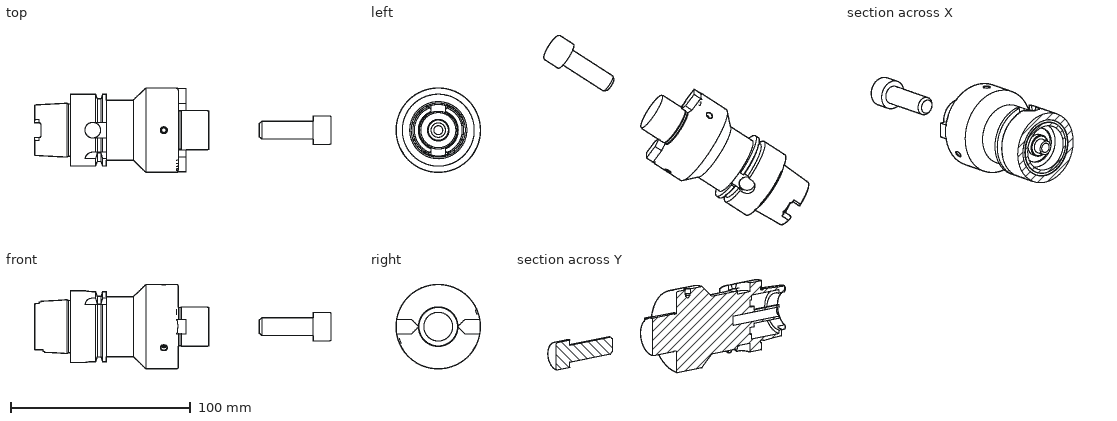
import cadquery as cq
import math


shank_length = 20.0
taper_large_dia = 30.1
taper_small_dia = 28.2
taper_end = -1.7
relief_start = -1.1
relief_dia = 29.2
face_groove_dia = 31.8
face_groove_depth = 0.4
lead_chamfer = 0.5
lead_chamfer_drop = 0.8

bore_dia = 21.0
bore_mouth_chamfer = 0.6
bore_land_length = 8.0
clamp_groove_dia = 25.0
clamp_groove_end = 7.0
floor_pocket_dia = 19.5
floor_pocket_depth = 1.0

collar_dia = 12.0
collar_height = 3.0
collar_chamfer = 0.4
tube_dia = 8.0
tube_bore_dia = 5.0
tube_end_fillet = 0.7
tube_mouth_x = -12.6
tube_bore_end_x = 20.0

drive_slot_width = 8.05
upper_slot_depth = 3.7
lower_slot_depth = 5.8
slot_corner_radius = 1.0
slot_edge_radius = 1.8
slot_edge_top = 12.75

flange_dia = 40.0
flange_length = 20.0
grip_groove_dia = 35.0
grip_groove_start = 15.0
grip_groove_floor = 2.1
grip_groove_angle = 20.0

pocket_dia = 8.7
pocket_x = 12.5
pocket_floor_z = 15.0
notch_floor_z = 12.2
notch_inner_y = -12.2

neck_dia = 33.5
cone_start = 35.0
cone_end = 42.0
head_dia = 47.0
head_end = 60.0
head_fillet = 0.9
pilot_dia = 22.0
pilot_end = 77.0
pilot_chamfer = 1.0
pilot_chamfer_drop = 0.3
pilot_relief_start = 60.4
pilot_relief_slope = 61.4
pilot_relief_end = 61.9
pilot_relief_dia = 21.4

hole_count = 3
hole_x = 52.0
hole_mouth_dia = 4.0
hole_core_dia = 3.4
hole_core_depth = 3.0
hole_tip_dia = 2.5
hole_tip_depth = 4.0
hole_cone_angle = 45.0

key_width = 8.0
key_end = 64.4
key_base = head_end - head_fillet
key_outer_y = 23.2
key_point_y = 10.8

screw_tip_x = 105.0
thread_dia = 10.0
tip_dia = 7.5
tip_length = 1.5
shaft_length = 30.0
screw_head_dia = 16.0
screw_head_height = 10.0
screw_head_fillet = 1.1


def revolve_about_x(points):
    """Revolve a closed outline of (x, radius) points about the X axis."""
    return cq.Workplane("XY").polyline(points).close().revolve(360, (0, 0, 0), (1, 0, 0))


def x_cylinder(x_start, x_end, dia):
    return cq.Workplane("YZ").workplane(offset=x_start).circle(dia / 2).extrude(x_end - x_start)


def arbor_blank():
    """Outer turned shape of the arbor."""
    wall_run = (flange_dia - grip_groove_dia) / 2 * math.tan(math.radians(grip_groove_angle))
    grip_groove_stop = grip_groove_start + grip_groove_floor
    blank = revolve_about_x([
        (-shank_length, 0),
        (-shank_length, taper_small_dia / 2 - lead_chamfer_drop),
        (-shank_length + lead_chamfer, taper_small_dia / 2),
        (taper_end, taper_large_dia / 2),
        (relief_start, relief_dia / 2),
        (face_groove_depth, relief_dia / 2),
        (face_groove_depth, face_groove_dia / 2),
        (0, face_groove_dia / 2),
        (0, flange_dia / 2),
        (grip_groove_start - wall_run, flange_dia / 2),
        (grip_groove_start, grip_groove_dia / 2),
        (grip_groove_stop, grip_groove_dia / 2),
        (grip_groove_stop + wall_run, flange_dia / 2),
        (flange_length, flange_dia / 2),
        (flange_length, neck_dia / 2),
        (cone_start, neck_dia / 2),
        (cone_end, head_dia / 2),
        (head_end, head_dia / 2),
        (head_end, pilot_dia / 2),
        (pilot_relief_start, pilot_relief_dia / 2),
        (pilot_relief_slope, pilot_relief_dia / 2),
        (pilot_relief_end, pilot_dia / 2),
        (pilot_end - pilot_chamfer, pilot_dia / 2),
        (pilot_end, pilot_dia / 2 - pilot_chamfer_drop),
        (pilot_end, 0),
    ])
    head_rim = cq.selectors.BoxSelector(
        (head_end - head_fillet, -head_dia, -head_dia),
        (head_end + head_fillet, head_dia, head_dia),
        boundingbox=True,
    )
    return blank.edges(head_rim).edges(cq.selectors.RadiusNthSelector(-1)).fillet(head_fillet)


def shank_bore():
    """Hollow of the shank: chamfered mouth, land, clamping groove and floor pocket."""
    land_end = -shank_length + bore_land_length
    floor_x = clamp_groove_end + floor_pocket_depth
    return revolve_about_x([
        (-shank_length, 0),
        (-shank_length, bore_dia / 2 + bore_mouth_chamfer),
        (-shank_length + bore_mouth_chamfer, bore_dia / 2),
        (land_end, bore_dia / 2),
        (land_end, clamp_groove_dia / 2),
        (clamp_groove_end, clamp_groove_dia / 2),
        (clamp_groove_end, floor_pocket_dia / 2),
        (floor_x, floor_pocket_dia / 2),
        (floor_x, 0),
    ])


def coolant_tube():
    """Tube with a chamfered collar, rising from the bore floor."""
    floor_x = clamp_groove_end + floor_pocket_depth
    collar = x_cylinder(floor_x - collar_height, floor_x, collar_dia).faces("<X").chamfer(collar_chamfer)
    tube = x_cylinder(tube_mouth_x, floor_x, tube_dia).faces("<X").edges().fillet(tube_end_fillet)
    return collar.union(tube)


def drive_slot(side, depth):
    """Slot through the shank wall at the mouth; side is +1 for the top, -1 for the bottom."""
    half_width = drive_slot_width / 2
    half_mouth = half_width + slot_edge_radius
    edge_start = slot_edge_top - slot_edge_radius
    slot = (
        cq.Workplane("XY")
        .box(depth, drive_slot_width, taper_large_dia / 2, centered=(False, True, False))
        .edges(">X and |Z")
        .fillet(slot_corner_radius)
    )
    for flank in (1, -1):
        rounding = (
            cq.Workplane("YZ")
            .moveTo(0, edge_start)
            .lineTo(flank * half_width, edge_start)
            .radiusArc((flank * half_mouth, slot_edge_top), flank * slot_edge_radius)
            .lineTo(flank * half_mouth, taper_large_dia / 2)
            .lineTo(0, taper_large_dia / 2)
            .close()
            .extrude(depth - slot_corner_radius)
        )
        slot = slot.union(rounding)
    slot = slot.translate((-shank_length, 0, 0))
    return slot if side > 0 else slot.rotate((0, 0, 0), (1, 0, 0), 180)


def flange_slot():
    """Round pocket in the flange with a shallower slot running out to the flange's rear face."""
    pocket = (
        cq.Workplane("XY")
        .workplane(offset=pocket_floor_z)
        .center(pocket_x, 0)
        .circle(pocket_dia / 2)
        .extrude(flange_dia / 2 - pocket_floor_z)
    )
    slot = cq.Workplane("XY").box(
        flange_length - pocket_x, pocket_dia, (flange_dia - neck_dia) / 2, centered=(False, True, False)
    )
    return pocket.union(slot.translate((pocket_x, 0, neck_dia / 2)))


def flange_notch():
    """Flat-floored notch in the flange's upper -Y shoulder, with a round front end."""
    radius = pocket_dia / 2
    center_y = notch_inner_y - radius
    return (
        cq.Workplane("XY")
        .workplane(offset=notch_floor_z)
        .moveTo(flange_length, notch_inner_y)
        .lineTo(pocket_x, notch_inner_y)
        .threePointArc((pocket_x - radius, center_y), (pocket_x, center_y - radius))
        .lineTo(flange_length, center_y - radius)
        .close()
        .extrude(flange_dia / 2 - notch_floor_z)
    )


def head_hole():
    """Radial stepped hole at the top of the head, countersunk at its mouth, with a conical bottom."""
    top = head_dia / 2
    countersink_z = top - (hole_mouth_dia - hole_core_dia) / 2
    step_z = top - hole_core_depth
    tip_z = top - hole_tip_depth
    cone_z = tip_z - hole_tip_dia / 2 * math.tan(math.radians(hole_cone_angle))
    outline = cq.Workplane("XZ").polyline([
        (0, cone_z),
        (hole_tip_dia / 2, tip_z),
        (hole_tip_dia / 2, step_z),
        (hole_core_dia / 2, step_z),
        (hole_core_dia / 2, countersink_z),
        (hole_mouth_dia / 2, top),
        (0, top),
    ])
    return outline.close().revolve(360, (0, 0, 0), (0, 1, 0)).translate((hole_x, 0, 0))


def drive_key():
    """Key on the +Y side with a pointed inner end, rooted below the head's rounded rim."""
    half_width = key_width / 2
    return (
        cq.Workplane("YZ")
        .workplane(offset=key_base)
        .polyline([
            (key_point_y, 0),
            (key_point_y + half_width, half_width),
            (key_outer_y, half_width),
            (key_outer_y, -half_width),
            (key_point_y + half_width, -half_width),
        ])
        .close()
        .extrude(key_end - key_base)
    )


def make_arbor():
    arbor = arbor_blank().cut(shank_bore())
    for side, depth in ((1, upper_slot_depth), (-1, lower_slot_depth)):
        arbor = arbor.cut(drive_slot(side, depth))
    arbor = arbor.union(coolant_tube())
    arbor = arbor.cut(x_cylinder(tube_mouth_x, tube_bore_end_x, tube_bore_dia))
    for angle in (0, 180):
        arbor = arbor.cut(flange_slot().rotate((0, 0, 0), (1, 0, 0), angle))
    arbor = arbor.cut(flange_notch())
    for index in range(hole_count):
        arbor = arbor.cut(head_hole().rotate((0, 0, 0), (1, 0, 0), index * 360 / hole_count))
    for angle in (0, 180):
        arbor = arbor.union(drive_key().rotate((0, 0, 0), (1, 0, 0), angle))
    return arbor


def make_screw():
    """Cylinder-head screw with a tapered tip."""
    head_start = screw_tip_x + shaft_length
    screw_end = head_start + screw_head_height
    blank = revolve_about_x([
        (screw_tip_x, 0),
        (screw_tip_x, tip_dia / 2),
        (screw_tip_x + tip_length, thread_dia / 2),
        (head_start, thread_dia / 2),
        (head_start, screw_head_dia / 2),
        (screw_end, screw_head_dia / 2),
        (screw_end, 0),
    ])
    return blank.faces(">X").edges().fillet(screw_head_fillet)


arbor = make_arbor()
screw = make_screw()
result = cq.Compound.makeCompound([arbor.val(), screw.val()])